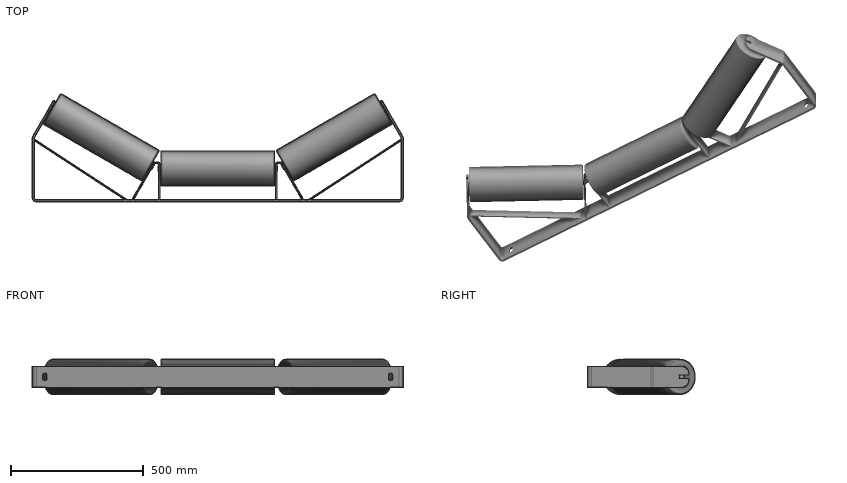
import cadquery as cq
import math


frame_length = 1400.0
strap_width = 80.0
strap_thickness = 8.0
frame_bend_radius = 15.0
arm_tip_radius = 28.0

roller_diameter = 133.0
roller_length = 430.0
roller_edge_radius = 4.0
roller_gap = 3.0
trough_angle = 30.0
centre_roller_y = 126.0
wing_roller_x = 440.0
wing_roller_y = 244.0

shaft_diameter = 20.0
shaft_flat_width = 14.0
arm_tip_beyond_axis = 31.0

mount_slot_x = 652.0
mount_slot_width = 17.0
mount_slot_length = 28.0

bracket_width = 60.0
bracket_thickness = 6.0
bracket_top_y = 150.0
bracket_bend_radius = 8.0

brace_width = 35.0
brace_thickness = 5.0
brace_wall_y = 237.0
brace_foot_x = 342.0

half_length = frame_length / 2
cos_tilt = math.cos(math.radians(trough_angle))
sin_tilt = math.sin(math.radians(trough_angle))
support_offset = roller_length / 2 + roller_gap
shaft_length = roller_length + 2 * (roller_gap + strap_thickness)


def wing_point(along, across):
    """Point in the right-hand tilted roller's frame: along its axis, and square to it."""
    return (
        wing_roller_x + along * cos_tilt - across * sin_tilt,
        wing_roller_y + along * sin_tilt + across * cos_tilt,
    )


def place_wing(shape):
    """Move a shape from the origin to the right-hand tilted roller's place."""
    return shape.rotate((0, 0, 0), (0, 0, 1), trough_angle).translate((wing_roller_x, wing_roller_y, 0))


def mirror_left(shape):
    return shape.mirror("YZ")


def bent_strap(points, width, thickness, bend_radius):
    """Flat strap swept along a middle line of straight runs joined by round bends."""
    vertices = [cq.Vector(x, y, 0) for x, y in points]
    path = cq.Wire.makePolygon(vertices).fillet(bend_radius - thickness / 2)
    start_plane = cq.Plane(origin=vertices[0], xDir=(0, 0, 1), normal=vertices[1] - vertices[0])
    profile = cq.Workplane(start_plane).rect(width, thickness)
    return profile.sweep(cq.Workplane(obj=path))


def shaft_slot():
    """Cutter for the open slots at both ends of a shaft lying along X at the origin."""
    slot_reach = shaft_length + 2 * strap_thickness
    slot_height = roller_diameter
    cutter = cq.Workplane("XY").box(slot_reach, slot_height, shaft_flat_width)
    return cutter.translate((0, (slot_height - shaft_diameter) / 2, 0))


def make_roller():
    """Roller along X, centred at the origin, with its flatted shaft ends."""
    drum = (
        cq.Workplane("YZ", origin=(-roller_length / 2, 0, 0))
        .circle(roller_diameter / 2)
        .extrude(roller_length)
        .edges("%CIRCLE")
        .fillet(roller_edge_radius)
    )
    shaft_start = cq.Workplane("YZ", origin=(-shaft_length / 2, 0, 0))
    shaft = shaft_start.circle(shaft_diameter / 2).extrude(shaft_length)
    flats = cq.Workplane("XY").box(shaft_length, shaft_diameter, shaft_flat_width)
    return drum.union(shaft.intersect(flats))


def make_frame():
    """Base strap, side walls and leaning arms, bent from one strap."""
    half_thickness = strap_thickness / 2
    wall_x = half_length - half_thickness
    arm_tip = wing_point(support_offset + half_thickness, arm_tip_beyond_axis)
    knee_y = arm_tip[1] - (wall_x - arm_tip[0]) * cos_tilt / sin_tilt
    right_side = [arm_tip, (wall_x, knee_y), (wall_x, half_thickness)]
    left_side = [(-x, y) for x, y in reversed(right_side)]
    frame = bent_strap(right_side + left_side, strap_width, strap_thickness, frame_bend_radius)

    for side in (1, -1):
        across_arm = cq.Vector(side * cos_tilt, sin_tilt, 0)
        frame = frame.edges(cq.selectors.ParallelDirSelector(across_arm)).fillet(arm_tip_radius)

    wing_slot = place_wing(shaft_slot())
    mount_slots = (
        cq.Workplane("XZ")
        .pushPoints([(-mount_slot_x, 0), (mount_slot_x, 0)])
        .slot2D(mount_slot_length, mount_slot_width, 90)
        .extrude(strap_thickness, both=True)
    )
    return frame.cut(wing_slot).cut(mirror_left(wing_slot)).cut(mount_slots)


def make_bracket():
    """Right-hand inner bracket: an upright leg, a top and a leaning leg standing on the base."""
    half_thickness = bracket_thickness / 2
    top_y = bracket_top_y - half_thickness
    leg_offset = support_offset + half_thickness
    foot_y = strap_thickness
    lean_x, lean_y = wing_point(-leg_offset, 0)

    def leaning_leg_x(y):
        return lean_x + (lean_y - y) * sin_tilt / cos_tilt

    below_base = -strap_thickness
    bracket = bent_strap(
        [
            (leg_offset, foot_y),
            (leg_offset, top_y),
            (leaning_leg_x(top_y), top_y),
            (leaning_leg_x(below_base), below_base),
        ],
        bracket_width,
        bracket_thickness,
        bracket_bend_radius,
    )
    below_foot = cq.Workplane("XY").box(frame_length, frame_length, frame_length)
    below_foot = below_foot.translate((0, foot_y - frame_length / 2, 0))
    centre_slot = shaft_slot().translate((0, centre_roller_y, 0))
    return bracket.cut(below_foot).cut(centre_slot).cut(place_wing(shaft_slot()))


def make_brace():
    """Right-hand diagonal brace between the side wall and the base."""
    wall_x = half_length - strap_thickness
    base_y = strap_thickness
    slope = math.atan2(brace_wall_y - base_y, wall_x - brace_foot_x)
    return (
        cq.Workplane("XY")
        .polyline(
            [
                (wall_x, brace_wall_y),
                (brace_foot_x, base_y),
                (brace_foot_x + brace_thickness / math.sin(slope), base_y),
                (wall_x, brace_wall_y - brace_thickness / math.cos(slope)),
            ]
        )
        .close()
        .extrude(brace_width / 2, both=True)
    )


frame = make_frame()
centre_roller = make_roller().translate((0, centre_roller_y, 0))
bodies = [frame, centre_roller]
for right_body in (place_wing(make_roller()), make_bracket(), make_brace()):
    bodies += [right_body, mirror_left(right_body)]

result = cq.Compound.makeCompound([body.val() for body in bodies])